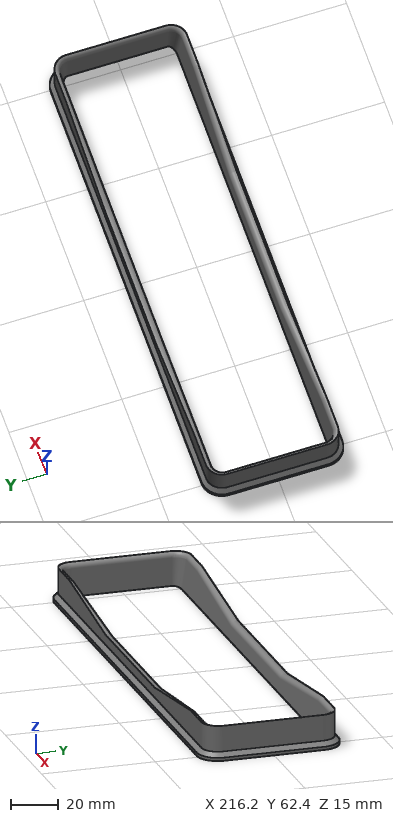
import cadquery as cq

flange_length = 216.17
flange_width = 62.39
height = 14.98
flange_corner_radius = 9.1

flange_overhang = 2.0
flange_edge_height = 1.5

wall_thickness = 2.0
side_wall_base_thickness = 4.3
rim_fillet = 2.3

liner_margin = 1.0

dip_depth = 7.0
dip_floor_half_length = 34.0
dip_top_half_length = 84.0

dip_floor_height = height - dip_depth

wall_length = flange_length - 2 * flange_overhang
wall_width = flange_width - 2 * flange_overhang
wall_corner_radius = flange_corner_radius - flange_overhang

corner_x = flange_length / 2 - flange_corner_radius
corner_y = flange_width / 2 - flange_corner_radius

opening_half_length = wall_length / 2 - wall_thickness
opening_top_half_width = wall_width / 2 - wall_thickness
opening_base_half_width = wall_width / 2 - side_wall_base_thickness


def rounded_block(length, width, block_height, radius):
    """Upright block on the base plane with rounded vertical corners."""
    block = cq.Workplane("XY").rect(length, width).extrude(block_height)
    return block.edges("|Z").fillet(radius)


def make_flange():
    flange_height = flange_edge_height + flange_overhang
    flange = rounded_block(flange_length, flange_width, flange_height, flange_corner_radius)
    return flange.faces(">Z").chamfer(flange_overhang)


def opening_outline(half_width, z):
    """Rounded opening outline whose corners are quarter ellipses about the corner centres."""
    quarter_turn = 90
    radius_x = opening_half_length - corner_x
    radius_y = half_width - corner_y

    def corner(sign_x, sign_y, start_angle):
        return cq.Edge.makeEllipse(
            radius_x,
            radius_y,
            cq.Vector(sign_x * corner_x, sign_y * corner_y, z),
            cq.Vector(0, 0, 1),
            cq.Vector(1, 0, 0),
            start_angle,
            start_angle + quarter_turn,
        )

    corners = [
        corner(1, 1, 0),
        corner(-1, 1, quarter_turn),
        corner(-1, -1, 2 * quarter_turn),
        corner(1, -1, 3 * quarter_turn),
    ]
    edges = []
    for index, arc in enumerate(corners):
        next_arc = corners[(index + 1) % len(corners)]
        edges.append(arc)
        edges.append(cq.Edge.makeLine(arc.endPoint(), next_arc.startPoint()))
    return cq.Wire.assembleEdges(edges)


def make_opening():
    base = opening_outline(opening_base_half_width, 0)
    top = opening_outline(opening_top_half_width, height)
    return cq.Workplane(cq.Solid.makeLoft([base, top], True))


def make_dip():
    """Trapezoidal prism that lowers the middle of both side walls."""
    outline = [
        (-dip_top_half_length, height),
        (-dip_floor_half_length, dip_floor_height),
        (dip_floor_half_length, dip_floor_height),
        (dip_top_half_length, height),
    ]
    return cq.Workplane("XZ").polyline(outline).close().extrude(flange_width, both=True)


def make_liner():
    """Oversize blank carrying the opening, the dip and the rounded inner rim."""
    liner_length = flange_length + 2 * liner_margin
    liner_width = flange_width + 2 * liner_margin
    liner = rounded_block(liner_length, liner_width, height, flange_corner_radius)
    liner = liner.cut(make_opening()).cut(make_dip())

    rim_zone = cq.selectors.BoxSelector(
        (-wall_length / 2, -wall_width / 2, flange_edge_height + flange_overhang),
        (wall_length / 2, wall_width / 2, height + liner_margin),
        boundingbox=True,
    )
    return liner.edges(rim_zone).fillet(rim_fillet)


outside = rounded_block(wall_length, wall_width, height, wall_corner_radius).union(make_flange())
result = outside.intersect(make_liner())